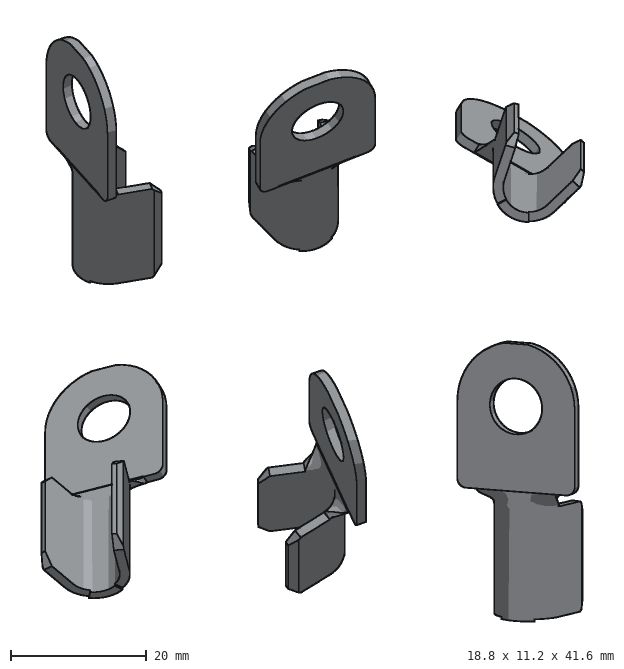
import cadquery as cq
import math

total_height = 41.55
total_width = 18.8
total_depth = 11.17
sheet = 1.5

tongue_bottom = 19.4
tongue_radius = total_width / 2
top_flat_half_width = 1.95
arc_center_z = total_height - math.sqrt(tongue_radius**2 - top_flat_half_width**2)
hole_center_z = 32.15
hole_diameter = 8.35
bottom_corner_radius = 1.35

barrel_bottom = 0.35
barrel_top = 16.85
outer_radius = 5.3
inner_radius = outer_radius - sheet
wing_splay = math.radians(13.5)
arc_half_angle = math.pi / 2 - wing_splay

tip_thickness = 0.7
tip_bevel_length = 1.35
tip_corner_length = 1.7
tip_corner_height = 1.75

tab_half_angle = math.radians(30.5)

neck_half_width = 6.3
neck_steps = 4
neck_setback = 0.12


def floor_point(radius, angle):
    """Point on the round floor; the angle is measured from straight below the bend axis."""
    return (radius * math.sin(angle), outer_radius - radius * math.cos(angle))


def floor_sector(bottom, top, half_angle):
    """Piece of the round floor between two heights, with radial ends."""
    return (
        cq.Workplane("XY")
        .workplane(offset=bottom)
        .moveTo(*floor_point(outer_radius, -half_angle))
        .threePointArc((0, 0), floor_point(outer_radius, half_angle))
        .lineTo(*floor_point(inner_radius, half_angle))
        .threePointArc((0, sheet), floor_point(inner_radius, -half_angle))
        .close()
        .extrude(top - bottom)
    )


def make_tongue():
    arc_mid_x = tongue_radius * math.sqrt(0.5)
    arc_mid_z = arc_center_z + tongue_radius * math.sqrt(0.5)
    blank = (
        cq.Workplane("XZ")
        .moveTo(-tongue_radius, tongue_bottom)
        .lineTo(tongue_radius, tongue_bottom)
        .lineTo(tongue_radius, arc_center_z)
        .threePointArc((arc_mid_x, arc_mid_z), (top_flat_half_width, total_height))
        .lineTo(-top_flat_half_width, total_height)
        .threePointArc((-arc_mid_x, arc_mid_z), (-tongue_radius, arc_center_z))
        .close()
        .extrude(-sheet)
    )
    blank = blank.edges("|Y and <Z").fillet(bottom_corner_radius)
    hole = cq.Workplane("XZ").center(0, hole_center_z).circle(hole_diameter / 2).extrude(-sheet)
    return blank.cut(hole)


def make_wing():
    """Wing on the +X side, laid out along its own slope from the inner tangent point."""
    start_x, start_y = floor_point(inner_radius, arc_half_angle)
    length = (total_depth - start_y) / math.cos(wing_splay)
    height = barrel_top - barrel_bottom
    up_slope = (math.sin(wing_splay), math.cos(wing_splay), 0)
    outward = (math.cos(wing_splay), -math.sin(wing_splay), 0)

    section_plane = cq.Plane((start_x, start_y, barrel_bottom), xDir=outward, normal=(0, 0, 1))
    wing = (
        cq.Workplane(section_plane)
        .polyline([
            (0, 0),
            (sheet, 0),
            (sheet, length - tip_bevel_length),
            (tip_thickness, length),
            (0, length),
        ])
        .close()
        .extrude(height)
    )

    face_plane = cq.Plane((start_x, start_y, barrel_bottom), xDir=up_slope, normal=outward)
    outline = (
        cq.Workplane(face_plane)
        .polyline([
            (0, 0),
            (length - tip_corner_length, 0),
            (length, tip_corner_height),
            (length, height - tip_corner_height),
            (length - tip_corner_length, height),
            (0, height),
        ])
        .close()
        .extrude(sheet)
    )
    return wing.intersect(outline)


def make_barrel():
    floor = floor_sector(barrel_bottom, barrel_top, arc_half_angle)
    tab = floor_sector(0, barrel_bottom, tab_half_angle)
    wing = make_wing()
    return floor.union(tab).union(wing).union(wing.mirror("YZ"))


def make_neck():
    """Loft from the barrel floor to a flat strip under the tongue.

    Seen along Z, the section corners move in straight paths.
    """
    outer_start = floor_point(outer_radius, arc_half_angle)
    inner_start = floor_point(inner_radius, arc_half_angle)
    front_end = neck_setback
    back_end = neck_setback + sheet
    step_height = (tongue_bottom - barrel_top) / neck_steps

    neck = cq.Workplane("XY").workplane(offset=barrel_top)
    for step in range(neck_steps):
        blend = (1 - math.cos(math.pi * step / neck_steps)) / 2
        outer_x = outer_start[0] + (neck_half_width - outer_start[0]) * blend
        outer_y = outer_start[1] + (front_end - outer_start[1]) * blend
        inner_x = inner_start[0] + (neck_half_width - inner_start[0]) * blend
        inner_y = inner_start[1] + (back_end - inner_start[1]) * blend
        front_y = front_end * blend
        neck = (
            neck.moveTo(-outer_x, outer_y)
            .threePointArc((0, front_y), (outer_x, outer_y))
            .lineTo(inner_x, inner_y)
            .threePointArc((0, front_y + sheet), (-inner_x, inner_y))
            .close()
            .workplane(offset=step_height)
        )
    neck = (
        neck.moveTo(-neck_half_width, front_end)
        .lineTo(neck_half_width, front_end)
        .lineTo(neck_half_width, back_end)
        .lineTo(-neck_half_width, back_end)
        .close()
    )
    return neck.loft()


result = make_tongue().union(make_neck()).union(make_barrel())